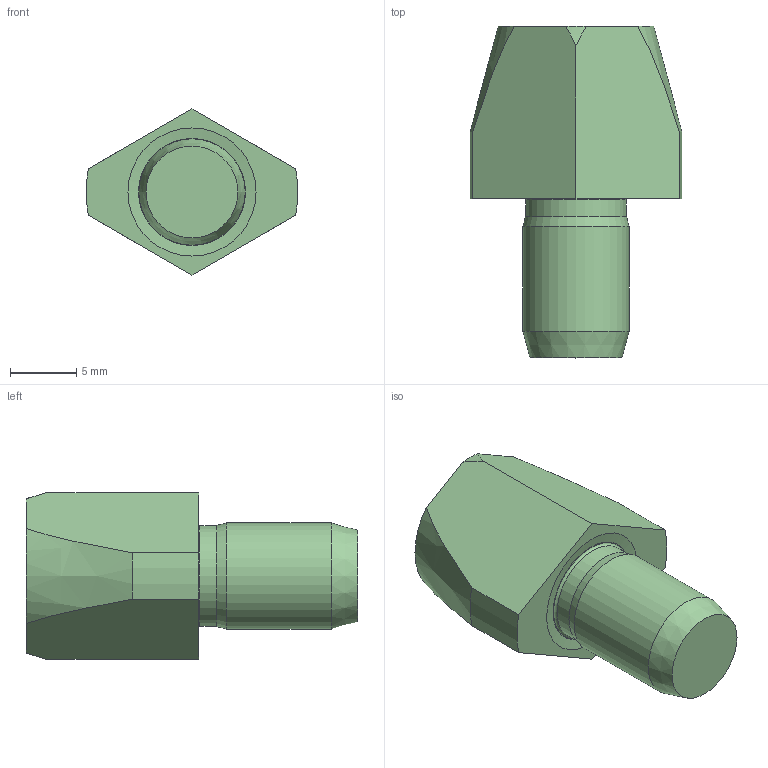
import cadquery as cq
import math

head_length = 13.0
head_diameter = 16.0
head_height = 12.51
flank_angle = 30.0
head_taper_length = 8.0
taper_angle = 15.0

shank_length = 12.0
shank_diameter = 8.0
neck_diameter = 7.6
neck_end = 1.35
tip_taper_length = 2.0

relief_diameter = 9.65
relief_angle = 8.0
root_fillet_radius = 0.2

shank_radius = shank_diameter / 2
neck_radius = neck_diameter / 2
relief_radius = relief_diameter / 2
relief_tilt = math.radians(relief_angle)
taper_slope = math.tan(math.radians(taper_angle))

fillet_center_radius = neck_radius + root_fillet_radius
cone_end_radius = fillet_center_radius + root_fillet_radius * math.sin(relief_tilt)
relief_depth = (relief_radius - cone_end_radius) * math.tan(relief_tilt)
fillet_center_y = relief_depth - root_fillet_radius * math.cos(relief_tilt)


def revolve_about_y(outline):
    """Turn a closed outline, drawn as (radius, y), around the Y axis."""
    return outline.revolve(360, (0, 0, 0), (0, 1, 0))


def make_head():
    half_height = head_height / 2
    half_width = half_height / math.tan(math.radians(flank_angle))
    rhombus = (
        cq.Workplane("XZ")
        .polyline([(half_width, 0), (0, half_height), (-half_width, 0), (0, -half_height)])
        .close()
        .extrude(-head_length)
    )
    radius = head_diameter / 2
    end_radius = radius - head_taper_length * taper_slope
    envelope_outline = (
        cq.Workplane("XY")
        .moveTo(0, 0)
        .lineTo(radius, 0)
        .lineTo(radius, head_length - head_taper_length)
        .lineTo(end_radius, head_length)
        .lineTo(0, head_length)
        .close()
    )
    return rhombus.intersect(revolve_about_y(envelope_outline))


def make_relief():
    """Shallow truncated cone to remove from the head face."""
    outline = (
        cq.Workplane("XY")
        .polyline([(0, 0), (relief_radius, 0), (cone_end_radius, relief_depth), (0, relief_depth)])
        .close()
    )
    return revolve_about_y(outline)


def make_shank():
    """Pin with a filleted root, a neck and a tapered tip."""
    tip_radius = shank_radius - tip_taper_length * taper_slope
    runout_length = (shank_radius - neck_radius) / taper_slope
    mid_angle = (3 * math.pi / 2 - relief_tilt) / 2
    fillet_mid = (
        fillet_center_radius + root_fillet_radius * math.cos(mid_angle),
        fillet_center_y + root_fillet_radius * math.sin(mid_angle),
    )
    outline = (
        cq.Workplane("XY")
        .moveTo(0, relief_depth)
        .lineTo(cone_end_radius, relief_depth)
        .threePointArc(fillet_mid, (neck_radius, fillet_center_y))
        .lineTo(neck_radius, -neck_end)
        .lineTo(shank_radius, -neck_end - runout_length)
        .lineTo(shank_radius, -shank_length + tip_taper_length)
        .lineTo(tip_radius, -shank_length)
        .lineTo(0, -shank_length)
        .close()
    )
    return revolve_about_y(outline)


result = make_head().cut(make_relief()).union(make_shank())